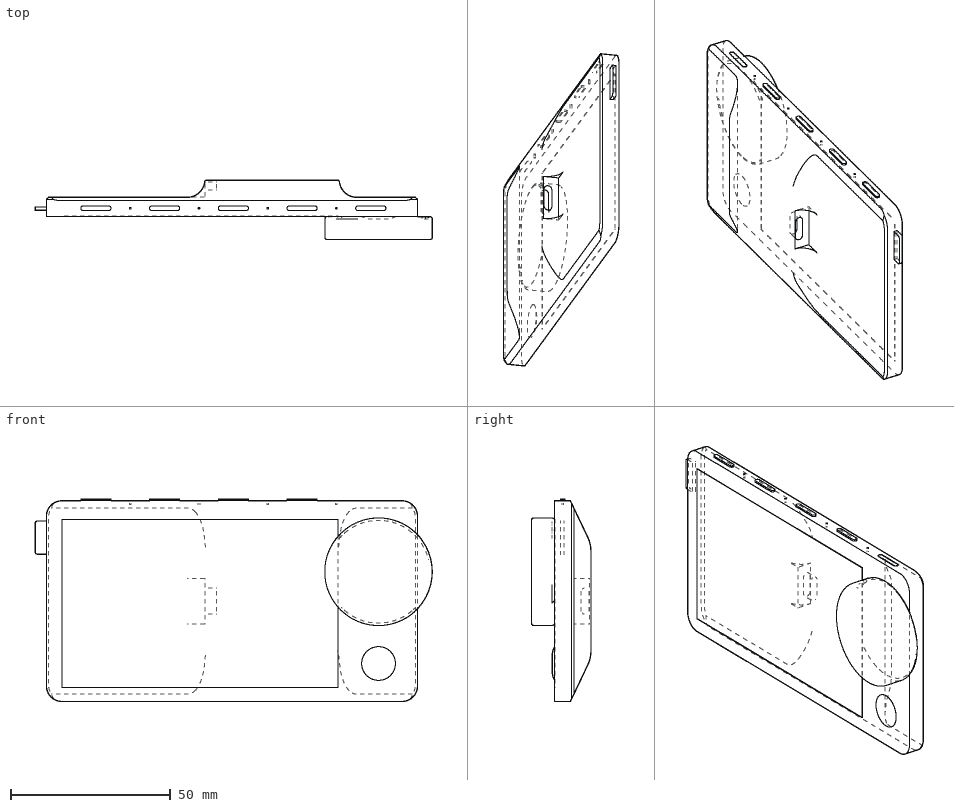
import cadquery as cq
import math


body_width = 116.2
body_height = 62.9
plate_depth = 6.1
corner_radius = 5.0
back_chamfer = 0.7

hump_left = 49.6
hump_width = 42.1
hump_right = hump_left + hump_width
back_depth = 11.4
flare_radius = back_depth - plate_depth
hump_end_round = 0.6
edge_depth = 5.0
flank_inset = 13.5
flank_round = 10.0

notch_height = 14.2
port_length = 8.2
port_width = 2.5
port_depth = 3.7
port_y = 9.6

screen_left = 4.8
screen_right = 91.3
screen_bottom = 4.5
screen_top = 56.9
screen_recess = 0.1

dial_diameter = 33.7
dial_depth = 7.2
dial_overhang = 4.6
dial_round = 0.7
dial_x = body_width + dial_overhang - dial_diameter / 2
dial_z = 40.6

button_diameter = 10.6
button_flat_diameter = 5.1
button_rise = 0.7
button_z = 11.9

key_count = 4
key_length = 9.5
key_width = 1.5
key_rise = 0.5
first_key_x = 15.5
key_pitch = 21.5
edge_row_y = 2.6
slot_depth = 0.1
pinhole_diameter = 0.5
pinhole_depth = 1.2

tab_length = 3.5
tab_thickness = 1.1
tab_height = 10.5
tab_top_gap = 6.3
tab_y = 2.5
tab_corner_radius = 0.7


def make_plate():
    """Rounded plate with a chamfer around its back face."""
    return (
        cq.Workplane("XY")
        .box(body_width, plate_depth, body_height, centered=False)
        .edges("|Y")
        .fillet(corner_radius)
        .faces(">Y")
        .edges()
        .chamfer(back_chamfer)
    )


def make_hump():
    """Full-height hump whose ends flare into the plate with concave arcs."""
    arc_offset = flare_radius * (1 - math.sqrt(0.5))
    mid_y = plate_depth + arc_offset
    return (
        cq.Workplane("XY")
        .moveTo(hump_left - flare_radius, edge_depth)
        .lineTo(hump_left - flare_radius, plate_depth)
        .threePointArc((hump_left - arc_offset, mid_y), (hump_left, back_depth))
        .lineTo(hump_right, back_depth)
        .threePointArc((hump_right + arc_offset, mid_y), (hump_right + flare_radius, plate_depth))
        .lineTo(hump_right + flare_radius, edge_depth)
        .close()
        .extrude(body_height)
        .faces(">Y")
        .edges("|Z")
        .fillet(hump_end_round)
    )


def make_flank_envelope():
    """Prism along X that slopes the back down to the top and bottom edges."""
    return (
        cq.Workplane("YZ")
        .polyline([
            (0, 0),
            (edge_depth, 0),
            (back_depth, flank_inset),
            (back_depth, body_height - flank_inset),
            (edge_depth, body_height),
            (0, body_height),
        ])
        .close()
        .extrude(body_width)
        .faces(">Y")
        .edges("|X")
        .fillet(flank_round)
    )


def make_notch():
    """Block that squares off the middle of the left flare."""
    return (
        cq.Workplane("XY")
        .box(flare_radius, flare_radius, notch_height, centered=(False, False, True))
        .translate((hump_left - flare_radius, plate_depth, body_height / 2))
    )


def make_port():
    """Rounded port pocket running in from the notch wall."""
    return (
        cq.Workplane("YZ", origin=(hump_left, port_y, body_height / 2))
        .slot2D(port_length, port_width, 90)
        .extrude(port_depth)
    )


def make_screen():
    """Shallow rectangular block that recesses the screen into the front face."""
    return (
        cq.Workplane("XY")
        .box(screen_right - screen_left, screen_recess, screen_top - screen_bottom, centered=False)
        .translate((screen_left, 0, screen_bottom))
    )


def make_dial():
    """Disc on the front face with both rims rounded."""
    return (
        cq.Workplane("XZ", origin=(dial_x, 0, dial_z))
        .circle(dial_diameter / 2)
        .extrude(dial_depth)
        .edges()
        .fillet(dial_round)
    )


def make_button():
    """Low dome whose rounded rim runs tangent into a flat centre."""
    base = button_diameter / 2
    flat = button_flat_diameter / 2
    rim = base - flat
    rim_radius = (rim ** 2 + button_rise ** 2) / (2 * button_rise)
    half_angle = math.asin(rim / rim_radius) / 2
    rim_mid = (
        flat + rim_radius * math.sin(half_angle),
        -button_rise + rim_radius * (1 - math.cos(half_angle)),
    )
    return (
        cq.Workplane("XY")
        .lineTo(base, 0)
        .threePointArc(rim_mid, (flat, -button_rise))
        .lineTo(0, -button_rise)
        .close()
        .revolve(360, (0, 0), (0, 1))
        .translate((dial_x, 0, button_z))
    )


def top_edge(x):
    """Workplane on the top edge of the body at the given x."""
    return cq.Workplane("XY", origin=(x, edge_row_y, body_height))


def make_tab():
    """Thin tab with its outer corners rounded."""
    return (
        cq.Workplane("XY")
        .box(tab_length, tab_thickness, tab_height, centered=(False, True, False))
        .edges("|Y and <X")
        .fillet(tab_corner_radius)
        .translate((-tab_length, tab_y, body_height - tab_top_gap - tab_height))
    )


body = make_plate().union(make_hump()).intersect(make_flank_envelope())
body = body.cut(make_notch()).cut(make_port()).cut(make_screen())
body = body.union(make_dial()).union(make_button()).union(make_tab())

for index in range(key_count):
    key_x = first_key_x + index * key_pitch
    body = body.union(top_edge(key_x).slot2D(key_length, key_width).extrude(key_rise))
    pinhole = top_edge(key_x + key_pitch / 2).circle(pinhole_diameter / 2).extrude(-pinhole_depth)
    body = body.cut(pinhole)

slot_x = first_key_x + key_count * key_pitch
body = body.cut(top_edge(slot_x).slot2D(key_length, key_width).extrude(-slot_depth))

result = body